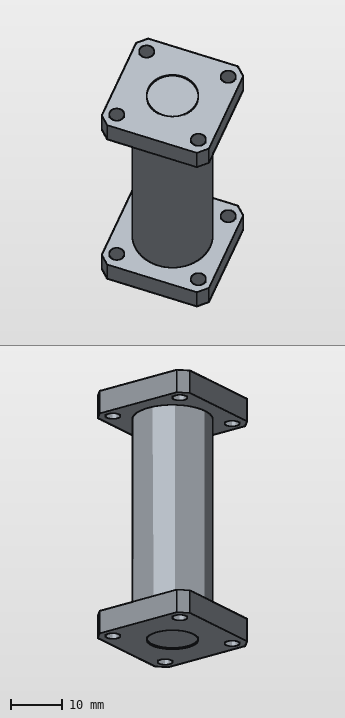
import cadquery as cq

length = 50.8
flange_side = 22.35
flange_thickness = 4.7
corner_chamfer = 1.85
tube_diameter = 15.75

bolt_spacing_x = 17.0
bolt_spacing_y = 16.25
bolt_hole_diameter = 2.95

recess_diameter = 10.05
recess_depth = 0.3


def flange(bottom_z):
    """Square flange with chamfered corners and four through holes."""
    plate = (
        cq.Workplane("XY", origin=(0, 0, bottom_z))
        .rect(flange_side, flange_side)
        .extrude(flange_thickness)
        .edges("|Z")
        .chamfer(corner_chamfer)
    )
    return (
        plate.faces(">Z")
        .workplane(origin=(0, 0, 0))
        .rect(bolt_spacing_x, bolt_spacing_y, forConstruction=True)
        .vertices()
        .hole(bolt_hole_diameter)
    )


def recess(bottom_z):
    """Disc that is cut away to form a recess."""
    return (
        cq.Workplane("XY", origin=(0, 0, bottom_z))
        .circle(recess_diameter / 2)
        .extrude(recess_depth)
    )


tube = (
    cq.Workplane("XY", origin=(0, 0, flange_thickness))
    .circle(tube_diameter / 2)
    .extrude(length - 2 * flange_thickness)
)

body = tube.union(flange(0)).union(flange(length - flange_thickness))
result = body.cut(recess(0)).cut(recess(length - recess_depth))